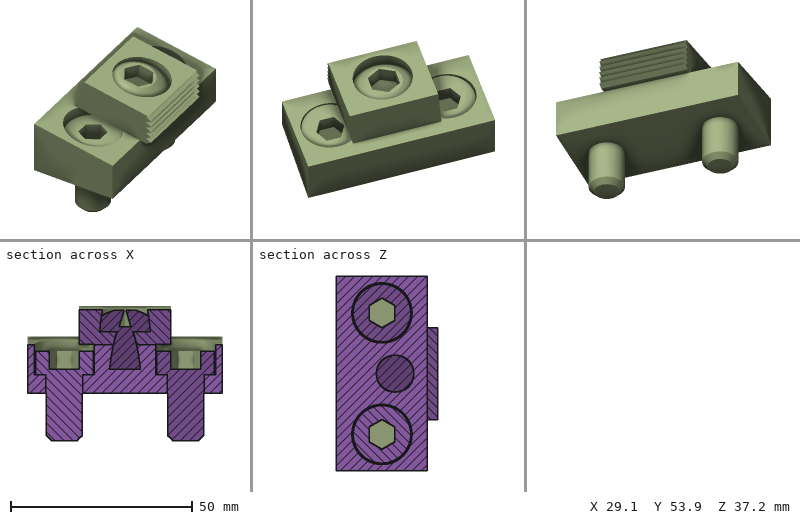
import cadquery as cq
import math

base_length = 53.85
base_width = 25.5
base_high_side = 15.8
slope_angle = 10.0
slope = math.tan(math.radians(slope_angle))

mount_x = base_width / 2
mount_spacing = 33.55
shank_diameter = 10.0
mount_protrusion = 13.15
mount_tip_chamfer = 1.5
mount_head_diameter = 16.05
mount_head_top = 11.75
mount_head_height = 6.45
mount_seat_z = mount_head_top - mount_head_height
counterbore_diameter = 16.5
mount_hex_flats = 7.0
mount_hex_depth = 5.0

jaw_width = base_width
jaw_heel_x = 4.25
jaw_peak_x = 7.45
jaw_peak_z = 24.1
tooth_tip_x = 29.15
tooth_angle = 60.0
tooth_pitch = 1.85
tooth_depth = tooth_pitch / 2 / math.tan(math.radians(tooth_angle / 2))
tooth_root_x = tooth_tip_x - tooth_depth
tooth_count = 5
lowest_tip_z = 11.8

clamp_x = 18.3
head_bore_diameter = 16.65
clamp_seat_depth = 5.9
clamp_reach_below_top = 16.15
dome_radius = 11.85
dome_offset = -1.3
dome_flat_diameter = 10.4
dome_flat_depth = 0.1
clamp_hex_flats = 7.95
clamp_hex_offset = -1.1
clamp_hex_depth = 4.4


def slope_z(x):
    """Height of the base's sloping top at x."""
    return base_high_side - x * slope


def jaw_top_z(x):
    """Height of the jaw's top face at x."""
    return jaw_peak_z - (x - jaw_peak_x) * slope


def hex_corners(flats):
    """Diameter across the corners of a hexagon."""
    return flats / math.cos(math.radians(30))


def place_on_jaw(body):
    """Move a body built about Z, with Z = 0 at the jaw top, onto the clamp axis."""
    return body.rotate((0, 0, 0), (0, 1, 0), slope_angle).translate((clamp_x, 0, jaw_top_z(clamp_x)))


def make_stepped_clamp_core():
    """Head cylinder and shank that fill the clamp bore."""
    shank = cq.Workplane("XY").circle(shank_diameter / 2).extrude(-clamp_reach_below_top)
    head = cq.Workplane("XY").circle(head_bore_diameter / 2).extrude(-clamp_seat_depth)
    return shank.union(head)


def make_base():
    outline = [(0, 0), (base_width, 0), (base_width, slope_z(base_width)), (0, base_high_side)]
    base = cq.Workplane("XZ").polyline(outline).close().extrude(base_length / 2, both=True)
    for side in (-1, 1):
        center = (mount_x, side * mount_spacing / 2)
        hole = cq.Workplane("XY").center(*center).circle(shank_diameter / 2).extrude(base_high_side)
        counterbore = (
            cq.Workplane("XY", origin=(0, 0, mount_seat_z))
            .center(*center)
            .circle(counterbore_diameter / 2)
            .extrude(base_high_side)
        )
        base = base.cut(hole).cut(counterbore)
    return base.cut(place_on_jaw(make_stepped_clamp_core()))


def make_mount_screw(side):
    shank = (
        cq.Workplane("XY", origin=(0, 0, -mount_protrusion))
        .circle(shank_diameter / 2)
        .extrude(mount_protrusion + mount_seat_z)
        .faces("<Z")
        .chamfer(mount_tip_chamfer)
    )
    head = (
        cq.Workplane("XY", origin=(0, 0, mount_seat_z))
        .circle(mount_head_diameter / 2)
        .extrude(mount_head_height)
    )
    socket = (
        cq.Workplane("XY", origin=(0, 0, mount_head_top))
        .polygon(6, hex_corners(mount_hex_flats))
        .extrude(-mount_hex_depth)
        .rotate((0, 0, 0), (0, 0, 1), 90)
    )
    return shank.union(head).cut(socket).translate((mount_x, side * mount_spacing / 2, 0))


def make_jaw():
    outline = [
        (jaw_peak_x, jaw_peak_z),
        (jaw_heel_x, slope_z(jaw_heel_x)),
        (tooth_root_x, slope_z(tooth_root_x)),
    ]
    for tooth in range(tooth_count):
        tip_z = lowest_tip_z + tooth * tooth_pitch
        outline.append((tooth_tip_x, tip_z))
        outline.append((tooth_root_x, tip_z + tooth_pitch / 2))
    top_root_z = outline[-1][1]
    flank_slope = tooth_pitch / 2 / tooth_depth
    flank_run = (jaw_top_z(tooth_root_x) - top_root_z) / (flank_slope + slope)
    corner_x = tooth_root_x + flank_run
    outline.append((corner_x, jaw_top_z(corner_x)))
    jaw = cq.Workplane("XZ").polyline(outline).close().extrude(jaw_width / 2, both=True)
    return jaw.cut(place_on_jaw(make_stepped_clamp_core()))


def make_clamp_screw():
    flat_height = math.sqrt(dome_radius**2 - (dome_flat_diameter / 2) ** 2)
    dome_center_z = -dome_flat_depth - flat_height
    dome = cq.Workplane("XY").sphere(dome_radius).translate((dome_offset, 0, dome_center_z))
    above_seat = cq.Workplane("XY").circle(head_bore_diameter / 2).extrude(-clamp_seat_depth)
    head_top = cq.Workplane("XY").circle(head_bore_diameter / 2).extrude(-dome_flat_depth)
    head = above_seat.intersect(dome).cut(head_top)
    shank = (
        cq.Workplane("XY", origin=(0, 0, -clamp_seat_depth))
        .circle(shank_diameter / 2)
        .extrude(clamp_seat_depth - clamp_reach_below_top)
    )
    socket = (
        cq.Workplane("XY", origin=(clamp_hex_offset, 0, -dome_flat_depth))
        .polygon(6, hex_corners(clamp_hex_flats))
        .extrude(-clamp_hex_depth)
    )
    return place_on_jaw(head.union(shank).cut(socket))


base = make_base()
jaw = make_jaw()
clamp_screw = make_clamp_screw()
mount_screws = [make_mount_screw(side) for side in (-1, 1)]

result = cq.Compound.makeCompound(
    [base.val(), jaw.val(), clamp_screw.val(), *[screw.val() for screw in mount_screws]]
)